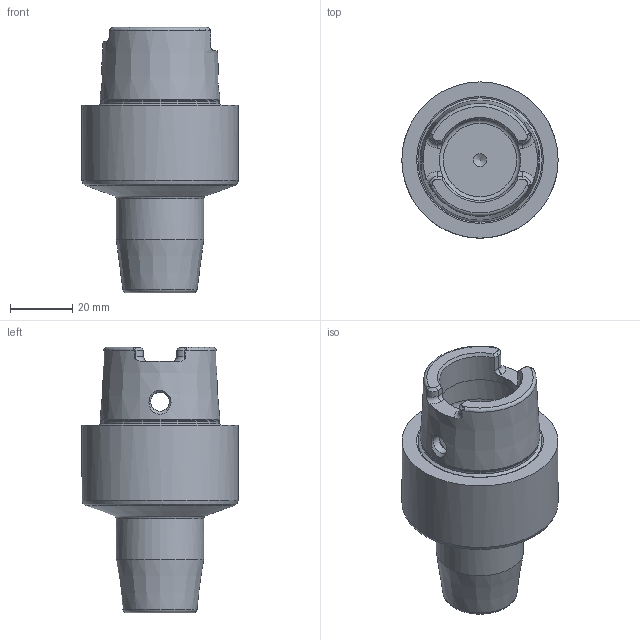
import cadquery as cq
import math

SHANK_LENGTH = 24.9
FLANGE_CONE_TOP_Z = -25.3
NECK_TAPER_Z = -43.0
NOSE_Z = -60.0

FLANGE_RADIUS = 25.0
FLANGE_CONE_ANGLE = 20.0
FLANGE_EDGE_FILLET = 1.7
NECK_RADIUS = 14.0
NECK_FILLET = 1.0
NOSE_RADIUS = 11.75
NOSE_FILLET = 1.0

SHANK_ROOT_RADIUS = 19.15
SHANK_ROOT_Z = 1.85
TAPER_PER_SIDE = 1 / 20
SHANK_RIM_FILLET = 1.0
UNDERCUT_RADIUS = 18.95
UNDERCUT_NECK_RADIUS = 19.0
UNDERCUT_NECK_Z = 1.35
UNDERCUT_TOP_Z = 1.1
UNDERCUT_BOTTOM_Z = 0.4
UNDERCUT_FLOOR_RADIUS = 19.9
UNDERCUT_FLOOR_Z = -0.2
UNDERCUT_OUTER_RADIUS = 20.3

BORE_RADIUS = 13.0
MOUTH_CHAMFER_WIDTH = 0.6
MOUTH_CHAMFER_ANGLE = 30.0
MOUTH_BOTTOM_Z = 14.75
CHAMBER_RADIUS = 15.75
SHOULDER_ANGLE = 30.0
CHAMBER_FOOT_Z = 5.3
CHAMBER_FOOT_RADIUS = 4.0
BORE_FLOOR_Z = -12.0
BORE_FLOOR_FILLET = 1.25
CENTRE_RADIUS = 2.05
CENTRE_POINT_ANGLE = 118.0

SLOT_WIDTH = 10.54
LEFT_SLOT_DEPTH = 4.5
RIGHT_SLOT_DEPTH = 7.5
SLOT_SHOULDER_X = 16.2
SLOT_CORNER_RADIUS = 2.5
SLOT_FLOOR_FILLET = 1.5
SLOT_RIM_CHAMFER = 0.9
SLOT_INNER_X = BORE_RADIUS / 2
SLOT_OUTER_X = FLANGE_RADIUS
SLOT_FLARE_HALF_WIDTH = 12.0

ACCESS_Z = 7.5
ACCESS_RADIUS = 3.05
ACCESS_COUNTERSINK_RADIUS = 3.85


def shank_radius(z):
    return SHANK_ROOT_RADIUS - (z - SHANK_ROOT_Z) * TAPER_PER_SIDE


def make_body():
    """Revolve the flange, neck and nose, rounding their ring edges."""
    cone_drop = (FLANGE_RADIUS - NECK_RADIUS) * math.tan(math.radians(FLANGE_CONE_ANGLE))
    neck_top_z = FLANGE_CONE_TOP_Z - cone_drop
    body = (
        cq.Workplane("XZ")
        .moveTo(0, NOSE_Z)
        .lineTo(NOSE_RADIUS, NOSE_Z)
        .lineTo(NECK_RADIUS, NECK_TAPER_Z)
        .lineTo(NECK_RADIUS, neck_top_z)
        .lineTo(FLANGE_RADIUS, FLANGE_CONE_TOP_Z)
        .lineTo(FLANGE_RADIUS, 0)
        .lineTo(UNDERCUT_OUTER_RADIUS, 0)
        .lineTo(UNDERCUT_FLOOR_RADIUS, UNDERCUT_FLOOR_Z)
        .lineTo(UNDERCUT_RADIUS, UNDERCUT_BOTTOM_Z)
        .lineTo(UNDERCUT_RADIUS, UNDERCUT_TOP_Z)
        .lineTo(UNDERCUT_NECK_RADIUS, UNDERCUT_NECK_Z)
        .lineTo(SHANK_ROOT_RADIUS, SHANK_ROOT_Z)
        .lineTo(shank_radius(SHANK_LENGTH), SHANK_LENGTH)
        .lineTo(0, SHANK_LENGTH)
        .close()
        .revolve(360, (0, 0, 0), (0, 1, 0))
    )
    ring_fillets = (
        (FLANGE_CONE_TOP_Z, FLANGE_EDGE_FILLET),
        (neck_top_z, NECK_FILLET),
        (NOSE_Z, NOSE_FILLET),
        (SHANK_LENGTH, SHANK_RIM_FILLET),
    )
    for ring_z, fillet_radius in ring_fillets:
        ring = cq.selectors.NearestToPointSelector((0, 0, ring_z))
        body = body.edges("%CIRCLE").edges(ring).fillet(fillet_radius)
    return body


def make_bore():
    """Revolve the bore, its clamping chamber and the drilled centre in its floor."""
    mouth_chamfer_height = MOUTH_CHAMFER_WIDTH / math.tan(math.radians(MOUTH_CHAMFER_ANGLE))
    chamber_step = CHAMBER_RADIUS - BORE_RADIUS
    shoulder_drop = chamber_step * math.tan(math.radians(SHOULDER_ANGLE))
    foot_drop = math.sqrt(CHAMBER_FOOT_RADIUS**2 - (CHAMBER_FOOT_RADIUS - chamber_step) ** 2)
    fillet_mid = BORE_FLOOR_FILLET * (1 - math.sqrt(0.5))
    centre_depth = CENTRE_RADIUS / math.tan(math.radians(CENTRE_POINT_ANGLE / 2))
    return (
        cq.Workplane("XZ")
        .moveTo(0, BORE_FLOOR_Z - centre_depth)
        .lineTo(CENTRE_RADIUS, BORE_FLOOR_Z)
        .lineTo(BORE_RADIUS - BORE_FLOOR_FILLET, BORE_FLOOR_Z)
        .threePointArc(
            (BORE_RADIUS - fillet_mid, BORE_FLOOR_Z + fillet_mid),
            (BORE_RADIUS, BORE_FLOOR_Z + BORE_FLOOR_FILLET),
        )
        .lineTo(BORE_RADIUS, CHAMBER_FOOT_Z - foot_drop)
        .radiusArc((CHAMBER_RADIUS, CHAMBER_FOOT_Z), -CHAMBER_FOOT_RADIUS)
        .lineTo(CHAMBER_RADIUS, MOUTH_BOTTOM_Z - shoulder_drop)
        .lineTo(BORE_RADIUS, MOUTH_BOTTOM_Z)
        .lineTo(BORE_RADIUS, SHANK_LENGTH - mouth_chamfer_height)
        .lineTo(BORE_RADIUS + MOUTH_CHAMFER_WIDTH, SHANK_LENGTH)
        .lineTo(0, SHANK_LENGTH)
        .close()
        .revolve(360, (0, 0, 0), (0, 1, 0))
    )


def slot_outline(z):
    """Plan of a +X slot: a parallel throat that flares round to a wide shoulder."""
    half_width = SLOT_WIDTH / 2
    corner_x = SLOT_SHOULDER_X - SLOT_CORNER_RADIUS
    corner_y = half_width + SLOT_CORNER_RADIUS
    mid_offset = SLOT_CORNER_RADIUS * math.sqrt(0.5)
    return (
        cq.Workplane("XY", origin=(0, 0, z))
        .moveTo(SLOT_INNER_X, -half_width)
        .lineTo(corner_x, -half_width)
        .threePointArc((corner_x + mid_offset, mid_offset - corner_y), (SLOT_SHOULDER_X, -corner_y))
        .lineTo(SLOT_SHOULDER_X, -SLOT_FLARE_HALF_WIDTH)
        .lineTo(SLOT_OUTER_X, -SLOT_FLARE_HALF_WIDTH)
        .lineTo(SLOT_OUTER_X, SLOT_FLARE_HALF_WIDTH)
        .lineTo(SLOT_SHOULDER_X, SLOT_FLARE_HALF_WIDTH)
        .lineTo(SLOT_SHOULDER_X, corner_y)
        .threePointArc((corner_x + mid_offset, corner_y - mid_offset), (corner_x, half_width))
        .lineTo(SLOT_INNER_X, half_width)
        .close()
    )


def make_slot(depth):
    """Cutter for a +X slot with a filleted floor and a chamfered rim."""
    floor_z = SHANK_LENGTH - depth
    slot = slot_outline(floor_z).extrude(depth)
    outer_edge_margin = 1.0
    outer_side = cq.selectors.BoxSelector(
        (SLOT_OUTER_X - outer_edge_margin, -SLOT_OUTER_X, 0),
        (SLOT_OUTER_X + outer_edge_margin, SLOT_OUTER_X, SHANK_LENGTH),
    )
    slot = slot.edges(cq.selectors.SubtractSelector(cq.selectors.StringSyntaxSelector("<Z"), outer_side))
    slot = slot.fillet(SLOT_FLOOR_FILLET)
    rim = slot_outline(SHANK_LENGTH - SLOT_RIM_CHAMFER).extrude(SLOT_RIM_CHAMFER, taper=-45)
    return slot.union(rim)


def make_access_hole():
    """Cutter along X with a 45 degree countersink where it leaves each shank wall."""
    wall_x = shank_radius(ACCESS_Z)
    countersink_depth = ACCESS_COUNTERSINK_RADIUS - ACCESS_RADIUS
    outer_x = SHANK_ROOT_RADIUS
    half_profile = (
        cq.Workplane("XY", origin=(0, 0, ACCESS_Z))
        .moveTo(0, 0)
        .lineTo(0, ACCESS_RADIUS)
        .lineTo(wall_x - countersink_depth, ACCESS_RADIUS)
        .lineTo(outer_x, ACCESS_COUNTERSINK_RADIUS + outer_x - wall_x)
        .lineTo(outer_x, 0)
        .close()
    )
    half = half_profile.revolve(360, (0, 0, 0), (1, 0, 0))
    return half.union(half.mirror("YZ"))


right_slot = make_slot(RIGHT_SLOT_DEPTH)
left_slot = make_slot(LEFT_SLOT_DEPTH).mirror("YZ")

result = make_body().cut(make_bore()).cut(right_slot).cut(left_slot).cut(make_access_hole())